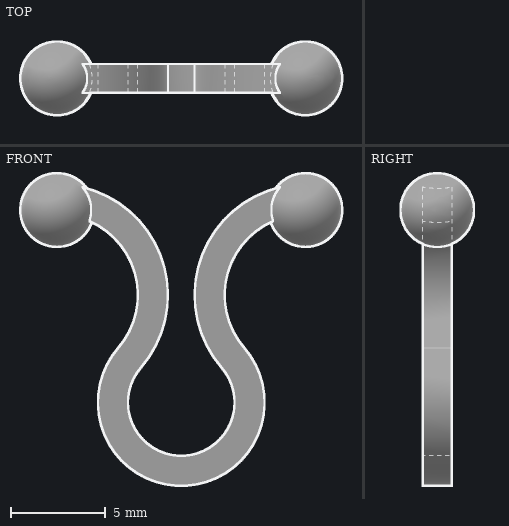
import cadquery as cq
import math

overall_width = 16.97
overall_height = 16.48
ball_diameter = 3.9
strip_thickness = 1.6
strip_depth = 1.53
loop_outer_radius = 4.4
arm_center_z = 5.65

ball_radius = ball_diameter / 2
ball_x = overall_width / 2 - ball_radius
ball_z = overall_height - loop_outer_radius - ball_radius
loop_mid_radius = loop_outer_radius - strip_thickness / 2

arm_center_x = ball_x
arm_mid_radius = math.hypot(arm_center_x, arm_center_z) - loop_mid_radius
tangent_angle = math.atan2(arm_center_z, arm_center_x)


def arm_point(radius, angle):
    """Point on the right arm, at an angle measured from its centre."""
    return (
        arm_center_x + radius * math.cos(angle),
        arm_center_z + radius * math.sin(angle),
    )


def mirrored(point):
    return (-point[0], point[1])


def edge_points(offset):
    """Top, middle and tangent points of the right arm on one edge, and the loop bottom."""
    arm_radius = arm_mid_radius - offset
    top_angle = math.pi / 2
    end_angle = math.pi + tangent_angle
    top = arm_point(arm_radius, top_angle)
    middle = arm_point(arm_radius, (top_angle + end_angle) / 2)
    tangent = arm_point(arm_radius, end_angle)
    bottom = (0, -loop_mid_radius - offset)
    return top, middle, tangent, bottom


def make_strip():
    """Bent strip: one edge from right to left, then the other edge back."""
    half = strip_thickness / 2
    top_a, middle_a, tangent_a, bottom_a = edge_points(half)
    top_b, middle_b, tangent_b, bottom_b = edge_points(-half)
    return (
        cq.Workplane("XZ")
        .moveTo(*top_a)
        .threePointArc(middle_a, tangent_a)
        .threePointArc(bottom_a, mirrored(tangent_a))
        .threePointArc(mirrored(middle_a), mirrored(top_a))
        .lineTo(*mirrored(top_b))
        .threePointArc(mirrored(middle_b), mirrored(tangent_b))
        .threePointArc(bottom_b, tangent_b)
        .threePointArc(middle_b, top_b)
        .close()
        .extrude(strip_depth / 2, both=True)
    )


result = make_strip()
for side in (-1, 1):
    ball = cq.Workplane("XY").sphere(ball_radius).translate((side * ball_x, 0, ball_z))
    result = result.union(ball)